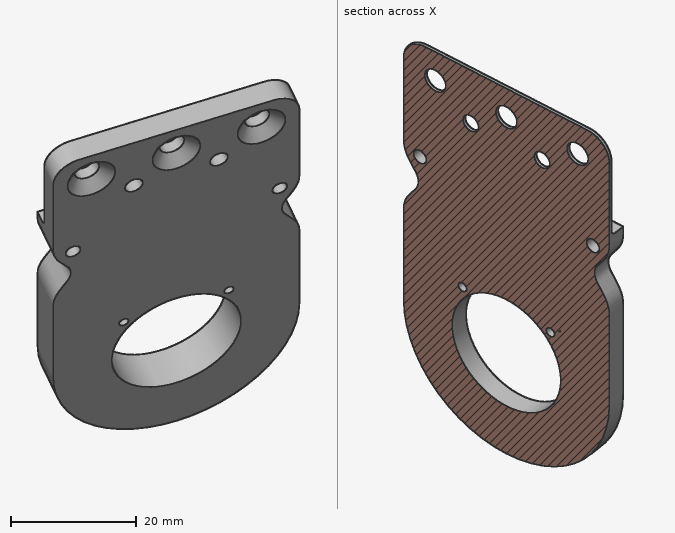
import cadquery as cq

WIDTH = 42.0
HEIGHT = 75.9
THICKNESS = 7.0
HALF_WIDTH = WIDTH / 2
TOP_Z = HEIGHT - HALF_WIDTH
CORNER_RADIUS = 4.5

STEP_DEPTH = 2.95
STEP_Z = TOP_Z - 19.95
STEP_FILLET = 1.0

NOTCH_Z = TOP_Z - 28.85
NOTCH_HALF_HEIGHT = 5.3
NOTCH_DEPTH = 3.65
NOTCH_MOUTH_RADIUS = 6.0
NOTCH_TIP_RADIUS = 3.0

BORE_DIAMETER = 22.0
LARGE_HOLE_DIAMETER = 4.2
COUNTERSINK_DEPTH = 2.0
LARGE_HOLE_SPACING = 14.5
LARGE_HOLE_Z = TOP_Z - 6.0
MEDIUM_HOLE_DIAMETER = 3.0
MEDIUM_HOLE_Z = TOP_Z - 11.1
EAR_HOLE_DIAMETER = 2.5
EAR_HOLE_Y = 17.6
EAR_HOLE_Z = TOP_Z - 23.45
PIN_HOLE_DIAMETER = 1.6
PIN_HOLE_OFFSET = 8.95


def round_edges(body, y, z, radius):
    """Fillet the pair of X-direction edges at (-y, z) and (y, z)."""
    margin = 0.1
    for side in (-1, 1):
        low = (-margin, side * y - margin, z - margin)
        high = (THICKNESS + margin, side * y + margin, z + margin)
        body = body.edges(cq.selectors.BoxSelector(low, high)).fillet(radius)
    return body


def make_plate():
    """Full-thickness plate with a half-round bottom, side notches and round corners."""
    notch_top = NOTCH_Z + NOTCH_HALF_HEIGHT
    notch_bottom = NOTCH_Z - NOTCH_HALF_HEIGHT
    tip_y = HALF_WIDTH - NOTCH_DEPTH
    plate = (
        cq.Workplane("YZ")
        .moveTo(-HALF_WIDTH, 0)
        .threePointArc((0, -HALF_WIDTH), (HALF_WIDTH, 0))
        .lineTo(HALF_WIDTH, notch_bottom)
        .lineTo(tip_y, NOTCH_Z)
        .lineTo(HALF_WIDTH, notch_top)
        .lineTo(HALF_WIDTH, TOP_Z)
        .lineTo(-HALF_WIDTH, TOP_Z)
        .lineTo(-HALF_WIDTH, notch_top)
        .lineTo(-tip_y, NOTCH_Z)
        .lineTo(-HALF_WIDTH, notch_bottom)
        .close()
        .extrude(THICKNESS)
    )
    plate = round_edges(plate, HALF_WIDTH, TOP_Z, CORNER_RADIUS)
    plate = round_edges(plate, tip_y, NOTCH_Z, NOTCH_TIP_RADIUS)
    for mouth_z in (notch_top, notch_bottom):
        plate = round_edges(plate, HALF_WIDTH, mouth_z, NOTCH_MOUTH_RADIUS)
    return plate


def make_step_cutter():
    """Block that thins the flange, with its inner edge rounded to leave a fillet."""
    cutter = cq.Workplane("XY").box(
        STEP_DEPTH, WIDTH, TOP_Z - STEP_Z, centered=(False, True, False)
    )
    return cutter.edges("|Y and >X and <Z").fillet(STEP_FILLET).translate((0, 0, STEP_Z))


def drill(body, diameter, points):
    """Cut through holes along X at the given (y, z) points."""
    holes = cq.Workplane("YZ").pushPoints(points).circle(diameter / 2).extrude(THICKNESS)
    return body.cut(holes)


def countersink(body, diameter, depth, points):
    """Widen holes of the given diameter with 45 degree chamfers at the back face."""
    radius = diameter / 2
    cone = cq.Solid.makeCone(radius, radius + depth, depth, dir=cq.Vector(1, 0, 0))
    for y, z in points:
        body = body.cut(cq.Workplane(cone.translate(cq.Vector(THICKNESS - depth, y, z))))
    return body


def mirrored(y, z):
    """A pair of points placed symmetrically about the middle plane."""
    return [(-y, z), (y, z)]


result = make_plate().cut(make_step_cutter())
result = drill(result, BORE_DIAMETER, [(0, 0)])
large_hole_points = mirrored(LARGE_HOLE_SPACING, LARGE_HOLE_Z) + [(0, LARGE_HOLE_Z)]
result = drill(result, LARGE_HOLE_DIAMETER, large_hole_points)
result = countersink(result, LARGE_HOLE_DIAMETER, COUNTERSINK_DEPTH, large_hole_points)
result = drill(result, MEDIUM_HOLE_DIAMETER, mirrored(LARGE_HOLE_SPACING / 2, MEDIUM_HOLE_Z))
result = drill(result, EAR_HOLE_DIAMETER, mirrored(EAR_HOLE_Y, EAR_HOLE_Z))
result = drill(result, PIN_HOLE_DIAMETER, mirrored(PIN_HOLE_OFFSET, PIN_HOLE_OFFSET))